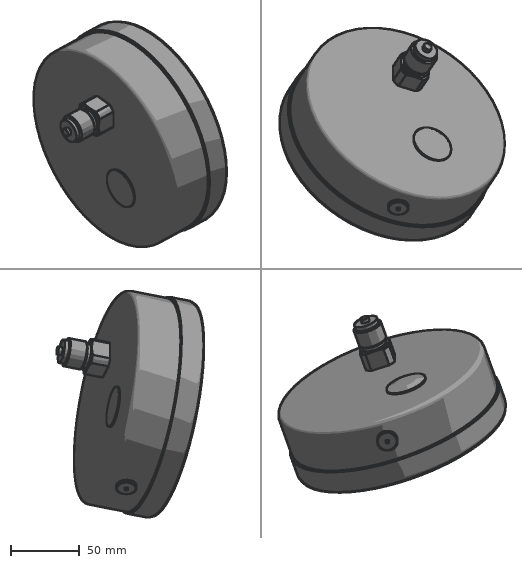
import cadquery as cq


bezel_radius = 161.4 / 2
bezel_depth = 17.5
bezel_fillet = 3.1
case_radius = 159.0 / 2
case_depth = 50.2
case_fillet = 3.5
seam_width = 0.7
seam_cut = 0.5

stem_z = 34.4
square_width = 22.3
square_corner_diameter = 26.2
square_end = 64.2
square_bevel = 0.7
neck_radius = 18.0 / 2
neck_end = 66.8
collar_radius = 21.0 / 2
collar_start = 67.9
collar_end = 80.2
collar_bevel_end = 80.8
spigot_radius = 17.5 / 2
spigot_end = 84.1
pin_radius = 6.0 / 2
pin_end = 87.0

plug_x = 20.0
plug_z = -24.2
plug_radius = 30.0 / 2
plug_rim_height = 1.0
plug_height = 2.5
plug_face_radius = 15.0 / 2
plug_blend_radius = 8.5

vent_depth = 34.4
vent_radius = 15.0 / 2
vent_bottom = 81.3
vent_bevel = 0.7
nipple_radius = 2.5 / 2
nipple_shoulder = 82.2
nipple_tip_radius = 0.3
overall_height = 163.6
nipple_bottom = overall_height - bezel_radius
vent_overlap = 3.3
vent_root = case_radius - vent_overlap


def turned(profile, x=0, z=0):
    """Revolve (radius, depth) points about an axis along Y through (x, z)."""
    points = [(radius, -depth) for radius, depth in profile]
    solid = cq.Workplane("XY").polyline(points).close().revolve(360, (0, 0, 0), (0, 1, 0))
    return solid.translate((x, 0, z))


def make_case():
    bezel = cq.Workplane("XZ").circle(bezel_radius).extrude(bezel_depth)
    bezel = bezel.faces(">Y").edges().fillet(bezel_fillet)
    case = cq.Workplane("XZ").circle(case_radius).extrude(case_depth)
    case = case.faces("<Y").edges().fillet(case_fillet)
    seam = (
        cq.Workplane("XZ", origin=(0, -bezel_depth, 0))
        .circle(bezel_radius)
        .circle(case_radius - seam_cut)
        .extrude(seam_width)
    )
    return bezel.union(case).cut(seam)


def make_stem():
    square_length = square_end - bezel_depth
    square = (
        cq.Workplane("XZ", origin=(0, -bezel_depth, stem_z))
        .rect(square_width, square_width)
        .extrude(square_length)
    )
    corner_radius = square_corner_diameter / 2
    blank = turned(
        [
            (0, bezel_depth),
            (corner_radius, bezel_depth),
            (corner_radius, square_end - square_bevel),
            (square_width / 2, square_end),
            (0, square_end),
        ],
        z=stem_z,
    )
    fitting = turned(
        [
            (0, case_depth),
            (neck_radius, case_depth),
            (neck_radius, neck_end),
            (collar_radius, collar_start),
            (collar_radius, collar_end),
            (spigot_radius, collar_bevel_end),
            (spigot_radius, spigot_end),
            (pin_radius, spigot_end),
            (pin_radius, pin_end),
            (0, pin_end),
        ],
        z=stem_z,
    )
    return square.intersect(blank).union(fitting)


def make_plug():
    face_depth = case_depth + plug_height
    plug = turned(
        [
            (0, bezel_depth),
            (plug_radius, bezel_depth),
            (plug_radius, case_depth + plug_rim_height),
            (plug_face_radius, face_depth),
            (0, face_depth),
        ],
        x=plug_x,
        z=plug_z,
    )
    return plug.faces("<Y").edges().fillet(plug_blend_radius)


def make_vent():
    profile = [
        (0, -vent_root),
        (vent_radius, -vent_root),
        (vent_radius, vent_bevel - vent_bottom),
        (vent_radius - vent_bevel, -vent_bottom),
        (nipple_radius, -vent_bottom),
        (nipple_radius, -nipple_shoulder),
        (nipple_tip_radius, -nipple_bottom),
        (0, -nipple_bottom),
    ]
    vent = cq.Workplane("XZ").polyline(profile).close().revolve(360, (0, 0, 0), (0, 1, 0))
    return vent.translate((0, -vent_depth, 0))


result = make_case().union(make_stem()).union(make_plug()).union(make_vent())